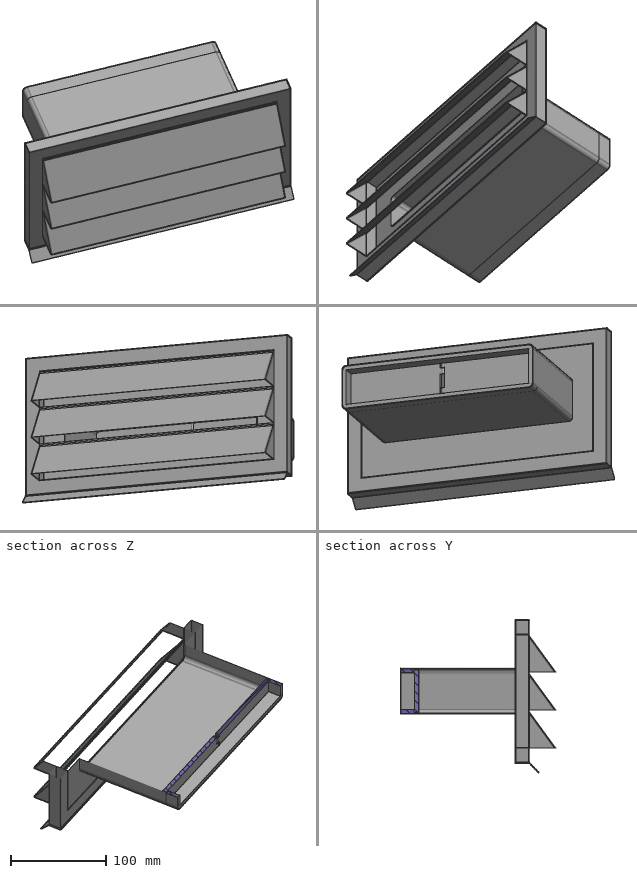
import cadquery as cq
import math


overall_height = 160.7

plate_width = 290.0
plate_height = 150.0
plate_depth = 15.0
plate_border = 15.0
sheet = 0.8

duct_length = 120.0
duct_width = 214.0
duct_height = 48.0
duct_corner = 5.0
duct_wall = 0.93

frame_depth = 14.5
mouth_wall = 5.0

louvre_count = 3
louvre_depth = 27.8
louvre_gap = 1.7
louvre_edge_radius = 1.5

drip_corner = 1.5

hinge_radius = 2.3
pin_radius = 1.2
flap_clearance = 1.0
knuckle_inner = 7.5
knuckle_outer = 14.5

plate_front = duct_length + plate_depth
strip_bottom = -plate_height / 2 - sheet
drip_drop = overall_height - plate_height - sheet
window_width = plate_width - 2 * plate_border
window_height = plate_height - 2 * plate_border
louvre_pitch = window_height / louvre_count
louvre_height = louvre_pitch - louvre_gap
cavity_width = duct_width - 2 * duct_wall
cavity_height = duct_height - 2 * duct_wall
cavity_corner = duct_corner - duct_wall
hinge_x = frame_depth + hinge_radius
flap_height = cavity_height - 2 * flap_clearance
flap_reach = cavity_width / 2 - flap_clearance


def block(x_start, x_end, width, height):
    """A box along X, centred on the duct axis."""
    return cq.Workplane("YZ").workplane(offset=x_start).rect(width, height).extrude(x_end - x_start)


def rounded_block(x_start, x_end, width, height, radius):
    return block(x_start, x_end, width, height).edges("|X").fillet(radius)


def prism(outline, width, z):
    """An XZ outline, measured from the plate front at height z, extruded evenly to both sides."""
    return cq.Workplane("XZ", origin=(plate_front, 0, z)).polyline(outline).close().extrude(width / 2, both=True)


def make_plate():
    """A hollow plate with a collar that joins the back sheet to the louvre window."""
    back = duct_length + sheet
    front = plate_front - sheet
    plate = block(duct_length, plate_front, plate_width, plate_height)
    plate = plate.faces("<X or >X").edges().fillet(sheet)
    hollow = block(back, front, plate_width - 2 * sheet, plate_height - 2 * sheet)
    collar = block(back, front, window_width, window_height)
    passage = block(back, front, window_width - 2 * sheet, window_height - 2 * sheet)
    return plate.cut(hollow).union(collar.cut(passage))


def make_louvre(z):
    """A solid wedge with a sloping top, rounded along both ends of the slope."""
    wedge = prism([(0, 0), (louvre_depth, 0), (0, louvre_height)], window_width, z)
    return wedge.edges("not (|X or |Y or |Z)").fillet(louvre_edge_radius)


def make_louvre_space(z):
    """The air space inside a louvre, reaching back through the front sheet of the plate."""
    inner_height = louvre_height - sheet * math.hypot(louvre_depth, louvre_height) / louvre_depth
    inner_depth = louvre_depth * inner_height / louvre_height
    outline = [(-sheet, 0), (inner_depth, 0), (0, inner_height), (-sheet, inner_height)]
    return prism(outline, window_width - 2 * sheet, z)


def make_drip_edge():
    strip = prism([(0, 0), (0, sheet), (-plate_depth, sheet), (-plate_depth, 0)], plate_width, strip_bottom)
    offset = sheet / math.sqrt(2)
    tip_x = drip_drop + sheet - offset
    slope = [
        (0, sheet),
        (tip_x, sheet - tip_x),
        (tip_x - offset, -drip_drop),
        (-offset, sheet - offset),
    ]
    lip = prism(slope, plate_width, strip_bottom)
    lip = lip.faces(cq.selectors.DirectionMinMaxSelector(cq.Vector(1, 0, -1), True)).edges("not |Y")
    lip = lip.fillet(drip_corner)
    return strip.union(lip)


def make_housing():
    duct = rounded_block(0, duct_length + sheet, duct_width, duct_height, duct_corner)
    bore = rounded_block(0, duct_length + sheet, cavity_width, cavity_height, cavity_corner)
    housing = make_plate().union(duct).cut(bore).union(make_drip_edge())
    for index in range(louvre_count):
        z = index * louvre_pitch - window_height / 2
        housing = housing.union(make_louvre(z)).cut(make_louvre_space(z))
    return housing


def make_frame():
    frame = rounded_block(0, frame_depth, cavity_width, cavity_height, cavity_corner)
    return frame.cut(block(0, frame_depth, duct_width - 2 * mouth_wall, duct_height - 2 * mouth_wall))


def upright(radius, z_low, z_high):
    """A cylinder on the hinge axis."""
    return cq.Workplane("XY", origin=(hinge_x, 0, z_low)).circle(radius).extrude(z_high - z_low)


def make_leaf():
    """The flap on the -Y side, with one knuckle at the top and one below the middle."""
    thickness = 2 * hinge_radius
    plain_width = flap_reach - hinge_radius
    leaf = cq.Workplane("XY").box(thickness, plain_width, flap_height)
    leaf = leaf.edges("|X and <Y").fillet(cavity_corner)
    leaf = leaf.translate((hinge_x, -hinge_radius - plain_width / 2, 0))
    for z_low, z_high in [(knuckle_outer, flap_height / 2), (-knuckle_outer, -knuckle_inner)]:
        web = cq.Workplane("XY").box(thickness, hinge_radius, z_high - z_low)
        web = web.translate((hinge_x, -hinge_radius / 2, (z_low + z_high) / 2))
        leaf = leaf.union(web).union(upright(hinge_radius, z_low, z_high))
    return leaf


pin = upright(pin_radius, -flap_height / 2, flap_height / 2)
housing = make_housing()
frame = make_frame()
pin_flap = make_leaf().union(pin)
bored_flap = make_leaf().rotate((0, 0, 0), (1, 0, 0), 180).cut(pin)

bodies = [housing, frame, pin_flap, bored_flap]
result = cq.Compound.makeCompound([body.solids().val() for body in bodies])